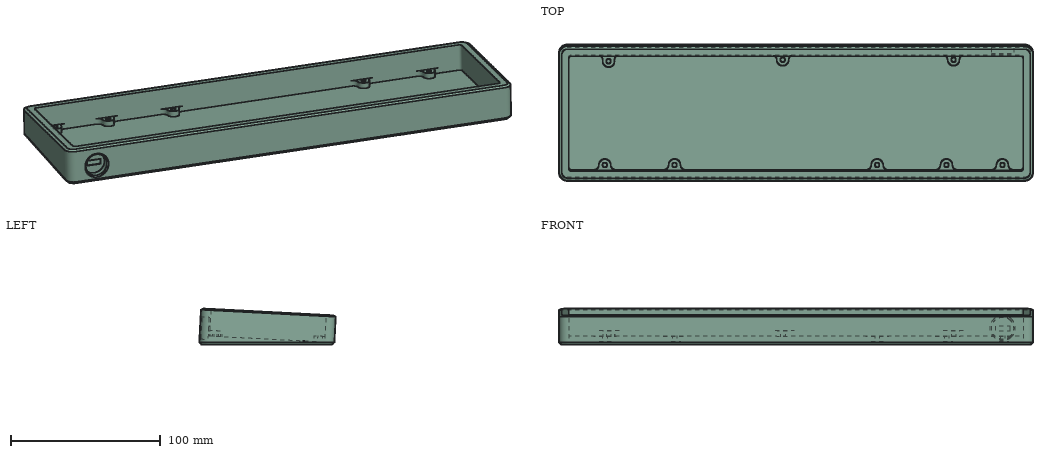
import cadquery as cq
import math


tray_width = 317.2
tray_length = 90.5
corner_radius = 6.0
tilt = 3.0
rim_z = 22.2
rim_chamfer_width = 2.0
rim_chamfer_height = 1.0
base_chamfer = 2.0

wall = 6.7
pocket_corner_radius = 2.0
pocket_depth = 18.0

boss_diameter = 8.0
boss_hole_diameter = 3.1
boss_height = 3.8
boss_root_radius = 3.5
front_boss_y = -35.2
rear_boss_y = 35.2
left_rear_boss_y = 34.3
boss_places = [(x, front_boss_y) for x in (-127.8, -81.2, 54.2, 100.5, 138.0)]
boss_places += [(-125.3, left_rear_boss_y), (-9.0, rear_boss_y), (105.3, rear_boss_y)]

port_x = 138.0
port_z = 9.2
port_width = 9.5
port_height = 3.5
recess_diameter = 15.0
recess_depth = 5.7
recess_chamfer = 1.0

rear_face_y = tray_length / 2
inner_wall_y = rear_face_y - wall
floor_z = rim_z - pocket_depth
sink = 6.5


def level(z):
    """Plane parallel to the rim at height z."""
    return cq.Workplane("XY").workplane(offset=z)


def outer_block():
    block = level(-sink).rect(tray_width, tray_length).extrude(sink + rim_z)
    block = block.edges("|Z").fillet(corner_radius)
    return block.faces(">Z").edges().chamfer(rim_chamfer_height, rim_chamfer_width)


def pocket():
    width = tray_width - 2 * wall
    length = 2 * inner_wall_y
    cutter = level(floor_z).rect(width, length).extrude(pocket_depth)
    return cutter.edges("|Z").fillet(pocket_corner_radius)


def boss(x, y):
    """Round boss that flares into the nearest long wall through concave roots."""
    side = math.copysign(1, y)
    radius = boss_diameter / 2
    to_wall = inner_wall_y - abs(y)
    to_wall_middle = to_wall + wall / 2

    root_y = to_wall - boss_root_radius
    root_x = math.sqrt((radius + boss_root_radius) ** 2 - root_y ** 2)
    touch = radius / (radius + boss_root_radius)
    wall_angle = math.pi / 2
    boss_angle = math.pi + math.atan(root_y / root_x)
    mid_angle = (wall_angle + boss_angle) / 2
    mid_x = root_x + boss_root_radius * math.cos(mid_angle)
    mid_y = root_y + boss_root_radius * math.sin(mid_angle)

    def at(dx, dy):
        return (x + dx, y + side * dy)

    outline = (
        level(floor_z)
        .moveTo(*at(root_x, to_wall_middle))
        .lineTo(*at(root_x, to_wall))
        .threePointArc(at(mid_x, mid_y), at(touch * root_x, touch * root_y))
        .threePointArc(at(0, -radius), at(-touch * root_x, touch * root_y))
        .threePointArc(at(-mid_x, mid_y), at(-root_x, to_wall))
        .lineTo(*at(-root_x, to_wall_middle))
        .close()
    )
    return outline.extrude(boss_height)


def boss_holes():
    return level(floor_z).pushPoints(boss_places).circle(boss_hole_diameter / 2).extrude(boss_height)


def rear_port():
    rear_plane = cq.Workplane("XZ", origin=(port_x, rear_face_y, port_z))
    recess = rear_plane.circle(recess_diameter / 2).extrude(recess_depth)
    lead_in = cq.Solid.makeCone(
        recess_diameter / 2 + recess_chamfer,
        recess_diameter / 2,
        recess_chamfer,
        cq.Vector(port_x, rear_face_y, port_z),
        cq.Vector(0, -1, 0),
    )
    opening = rear_plane.rect(port_width, port_height).extrude(wall)
    return recess.union(cq.Workplane(lead_in)).union(opening)


def level_underside(body):
    """Tilt the body about X, trim everything below Z = 0 and chamfer the new bottom edge."""
    tilted = body.rotate((0, 0, 0), (1, 0, 0), tilt)
    keep = cq.Workplane("XY").rect(2 * tray_width, 2 * tray_length).extrude(2 * rim_z)
    return tilted.intersect(keep).faces("<Z").chamfer(base_chamfer)


tray = outer_block().cut(pocket())
for place in boss_places:
    tray = tray.union(boss(*place))
tray = tray.cut(boss_holes())
tray = level_underside(tray)
result = tray.cut(rear_port().rotate((0, 0, 0), (1, 0, 0), tilt))